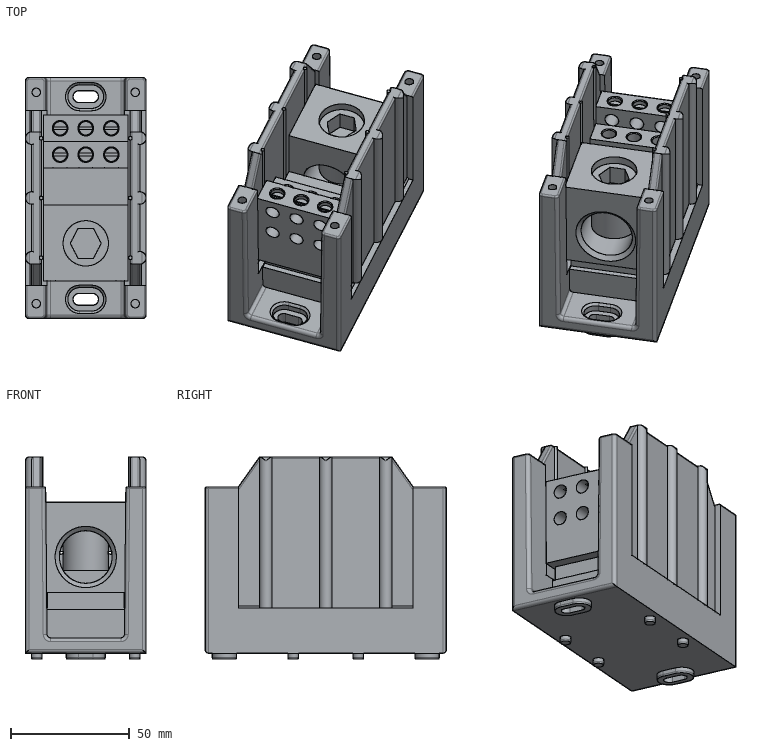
import cadquery as cq

MARGIN = 1.0

LENGTH = 101.6
WIDTH = 50.8
PILLAR_TOP = 70.1
WALL_TOP = 82.7
FLOOR_TOP = 6.5
PEDESTAL_TOP = 18.4
OUTER_RADIUS = 1.5
TOP_RADIUS = 0.76

CHANNEL_BOTTOM_WIDTH = 32.5
CHANNEL_TOP_WIDTH = 33.7
CHANNEL_CORNER_RADIUS = 1.5
MOUTH_RADIUS = 1.6
PEDESTAL_LENGTH = 64.0

CAVITY_LENGTH = 73.6
CAVITY_BOTTOM = 19.1
CAVITY_BOTTOM_WIDTH = 37.4
CAVITY_TOP_WIDTH = 37.6

WALL_OUTER_X = 22.8
WALL_PEAK_LENGTH = 55.7
WINDOW_BOTTOM = CAVITY_BOTTOM
WINDOW_FOOT_CHAMFER = 0.7

RIB_SPACING = 25.2
OUTER_RIB_RADIUS = WIDTH / 2 - WALL_OUTER_X
OUTER_RIB_TOP_RADIUS = 1.6
INNER_RIB_RADIUS = 0.76

PILLAR_HOLE_DIAMETER = 3.6
PILLAR_HOLE_DEPTH = 10.2
PILLAR_HOLE_X = 20.8
PILLAR_HOLE_Y = 44.5

FOOT_HEIGHT = 2.4
SLOT_Y = 42.7
SLOT_LENGTH = 10.7
SLOT_WIDTH = 4.9
RECESS_LENGTH = 15.0
RECESS_WIDTH = 9.9
RECESS_DEPTH = 3.7
RECESS_CHAMFER = 1.0
FOOT_LENGTH = 16.5
FOOT_WIDTH = 10.4
PIN_DIAMETER = 4.6
PIN_X = 20.6
PIN_Y = 13.7
FOOT_CHAMFER_HEIGHT = 0.7
FOOT_CHAMFER_INSET = 0.2

BLOCK_WIDTH = 35.5
BLOCK_LENGTH = 69.9
BLOCK_BOTTOM = 25.5
BLOCK_TOP = 63.7
LUG_BACK_Y = -3.0
PLATEAU_TOP = 41.8
LOW_STEP_Y = 12.7
LOW_STEP_TOP = 54.0
HIGH_STEP_Y = 23.8
HIGH_STEP_TOP = 62.9
SPACER_LENGTH = 59.3

BORE_RADIUS = 11.1
BORE_Z = 40.5
BORE_CHAMFER = 1.8
CLAMP_RADIUS = 9.5
CLAMP_Y = -19.1
CLAMP_RECESS = 3.5
CLAMP_TOP = BLOCK_TOP - CLAMP_RECESS
CLAMP_BOTTOM = 35.0
SOCKET_HALF_WIDTH = 6.5
SOCKET_HALF_HEIGHT = 6.3
SOCKET_HALF_FLAT = 3.3
SOCKET_DEPTH = 8.1

WIRE_PITCH = 10.8
WIRE_RADIUS = 2.9
WIRE_SCREW_RADIUS = 2.8
WIRE_SCREW_RIM_CHAMFER = 0.4
LOW_SCREW_RECESS = 4.6
LOW_SCREW_GAP = 1.0
HIGH_SCREW_RECESS = 2.2
DRIVER_SLOT_WIDTH = 1.2
DRIVER_SLOT_DEPTH = 0.6


def box(x_range, y_range, z_range):
    """Box between the given limits."""
    (x0, x1), (y0, y1), (z0, z1) = x_range, y_range, z_range
    return cq.Workplane("XY").box(x1 - x0, y1 - y0, z1 - z0, centered=False).translate((x0, y0, z0))


def cylinder(radius, x, y, z_bottom, z_top):
    """Upright cylinder."""
    return cq.Workplane("XY", origin=(x, y, z_bottom)).circle(radius).extrude(z_top - z_bottom)


def stadium(length, width, y, z_bottom, z_top):
    """Upright stadium-shaped prism, long along X."""
    return cq.Workplane("XY", origin=(0, y, z_bottom)).slot2D(length, width).extrude(z_top - z_bottom)


def drafted_trough(bottom_width, top_width, z_bottom, z_top, y_range):
    """Trough along Y whose side walls lean slightly outward."""
    y0, y1 = y_range
    return (
        cq.Workplane("XZ", origin=(0, y1, 0))
        .moveTo(-bottom_width / 2, z_bottom)
        .lineTo(bottom_width / 2, z_bottom)
        .lineTo(top_width / 2, z_top)
        .lineTo(-top_width / 2, z_top)
        .close()
        .extrude(y1 - y0)
    )


def make_shell():
    """Rounded box with an open channel at each end, around a central pedestal."""
    shell = cq.Workplane("XY").box(WIDTH, LENGTH, PILLAR_TOP, centered=(True, True, False))
    shell = shell.edges("|Z or (|X and <Z)").fillet(OUTER_RADIUS)
    for y_range in ((-LENGTH / 2, -PEDESTAL_LENGTH / 2), (PEDESTAL_LENGTH / 2, LENGTH / 2)):
        channel = drafted_trough(CHANNEL_BOTTOM_WIDTH, CHANNEL_TOP_WIDTH, FLOOR_TOP, PILLAR_TOP, y_range)
        channel = channel.edges("|Y and <Z").fillet(CHANNEL_CORNER_RADIUS)
        shell = shell.cut(channel)
    reach = CHANNEL_TOP_WIDTH / 2 + MARGIN
    for side in (-1, 1):
        end_y = side * LENGTH / 2
        rim = cq.selectors.BoxSelector(
            (-reach, end_y - MARGIN, FLOOR_TOP - MARGIN), (reach, end_y + MARGIN, PILLAR_TOP - MARGIN)
        )
        shell = shell.edges(rim).fillet(MOUTH_RADIUS)
    return shell


def round_pillar_tops(shell):
    """Round the top rims of the pillars, leaving their faces toward the cavity sharp."""
    return shell.faces(">Z").edges("<Y or >Y or (not |X)").fillet(TOP_RADIUS)


def make_side_wall():
    """Panel on the +X side with sloping shoulders, ribs on both faces and wedges at its foot."""
    panel = (
        cq.Workplane("YZ", origin=(CAVITY_BOTTOM_WIDTH / 2, 0, 0))
        .moveTo(-CAVITY_LENGTH / 2, CAVITY_BOTTOM)
        .lineTo(CAVITY_LENGTH / 2, CAVITY_BOTTOM)
        .lineTo(CAVITY_LENGTH / 2, PILLAR_TOP)
        .lineTo(WALL_PEAK_LENGTH / 2, WALL_TOP)
        .lineTo(-WALL_PEAK_LENGTH / 2, WALL_TOP)
        .lineTo(-CAVITY_LENGTH / 2, PILLAR_TOP)
        .close()
        .extrude(WALL_OUTER_X - CAVITY_BOTTOM_WIDTH / 2)
    )
    cavity = drafted_trough(
        CAVITY_BOTTOM_WIDTH, CAVITY_TOP_WIDTH, CAVITY_BOTTOM, WALL_TOP,
        (-CAVITY_LENGTH / 2, CAVITY_LENGTH / 2),
    )
    panel = panel.cut(cavity)
    top_rim = cq.selectors.BoxSelector(
        (0, -CAVITY_LENGTH / 2 + MARGIN, PILLAR_TOP + MARGIN),
        (WIDTH, CAVITY_LENGTH / 2 - MARGIN, WALL_TOP + MARGIN),
    )
    panel = panel.edges(top_rim).edges("not |X").fillet(TOP_RADIUS)
    for y in (-RIB_SPACING, 0, RIB_SPACING):
        panel = panel.union(make_outer_rib(y)).union(make_inner_rib(y))
    for side in (-1, 1):
        panel = panel.union(make_foot_wedge(side))
    return panel


def make_outer_rib(y):
    """Half-round rib outside the wall; its outer top edge is rounded off."""
    rib = cylinder(OUTER_RIB_RADIUS, WALL_OUTER_X, y, WINDOW_BOTTOM, WALL_TOP)
    wall_middle = (CAVITY_TOP_WIDTH / 2 + WALL_OUTER_X) / 2
    keep = box((wall_middle, WIDTH / 2), (y - RIB_SPACING, y + RIB_SPACING), (0, WALL_TOP))
    keep = keep.edges(">X and >Z").fillet(OUTER_RIB_TOP_RADIUS)
    return rib.intersect(keep)


def make_inner_rib(y):
    """Thin half-round rib inside the wall."""
    return cylinder(INNER_RIB_RADIUS, CAVITY_TOP_WIDTH / 2, y, CAVITY_BOTTOM, WALL_TOP)


def make_foot_wedge(side):
    """Small wedge along the foot of the wall, between the end rib and the pillar."""
    band = (CAVITY_LENGTH - WALL_PEAK_LENGTH) / 2
    centre_y = side * (CAVITY_LENGTH + WALL_PEAK_LENGTH) / 4
    return (
        cq.Workplane("XZ", origin=(0, centre_y, 0))
        .moveTo(WALL_OUTER_X, WINDOW_BOTTOM)
        .lineTo(WALL_OUTER_X + WINDOW_FOOT_CHAMFER, WINDOW_BOTTOM)
        .lineTo(WALL_OUTER_X, WINDOW_BOTTOM + WINDOW_FOOT_CHAMFER)
        .close()
        .extrude(band / 2, both=True)
    )


def soften_foot(prism):
    """Slightly taper the lowest part of a foot or pin."""
    return prism.faces("<Z").chamfer(FOOT_CHAMFER_HEIGHT, FOOT_CHAMFER_INSET)


def make_recess_rim(y):
    """Cutter that flares the top of a mounting recess at 45 degrees."""
    return (
        cq.Workplane("XY", origin=(0, y, FLOOR_TOP))
        .slot2D(RECESS_LENGTH + 2 * RECESS_CHAMFER, RECESS_WIDTH + 2 * RECESS_CHAMFER)
        .extrude(-RECESS_CHAMFER, taper=45)
    )


def make_housing():
    """Base with four corner pillars, tall side walls, feet and pins."""
    housing = make_shell()

    span = (-CAVITY_LENGTH / 2, CAVITY_LENGTH / 2)
    housing = housing.cut(box((-WALL_OUTER_X, WALL_OUTER_X), span, (CAVITY_BOTTOM, WALL_TOP)))
    for x_range in ((-WIDTH / 2, -WALL_OUTER_X), (WALL_OUTER_X, WIDTH / 2)):
        housing = housing.cut(box(x_range, span, (WINDOW_BOTTOM, WALL_TOP)))
    housing = round_pillar_tops(housing)
    wall = make_side_wall()
    housing = housing.union(wall).union(wall.mirror("YZ"))

    seat_half = CHANNEL_BOTTOM_WIDTH / 2
    housing = housing.cut(box((-seat_half, seat_half), span, (PEDESTAL_TOP, CAVITY_BOTTOM)))

    for x in (-PILLAR_HOLE_X, PILLAR_HOLE_X):
        for y in (-PILLAR_HOLE_Y, PILLAR_HOLE_Y):
            hole = cylinder(PILLAR_HOLE_DIAMETER / 2, x, y, PILLAR_TOP - PILLAR_HOLE_DEPTH, PILLAR_TOP)
            housing = housing.cut(hole)

    for x in (-PIN_X, PIN_X):
        for y in (-PIN_Y, PIN_Y):
            housing = housing.union(soften_foot(cylinder(PIN_DIAMETER / 2, x, y, -FOOT_HEIGHT, 0)))

    for y in (-SLOT_Y, SLOT_Y):
        foot = soften_foot(stadium(FOOT_LENGTH, FOOT_WIDTH, y, -FOOT_HEIGHT, 0))
        recess = stadium(RECESS_LENGTH, RECESS_WIDTH, y, FLOOR_TOP - RECESS_DEPTH, FLOOR_TOP)
        housing = housing.union(foot).cut(recess)
        housing = housing.cut(make_recess_rim(y))
        slot = stadium(SLOT_LENGTH, SLOT_WIDTH, y, -FOOT_HEIGHT, FLOOR_TOP)
        housing = housing.cut(slot)
    return housing


def make_block():
    """Stepped block: a tall lug in front, then a plateau and two rising steps."""
    front_y = -BLOCK_LENGTH / 2
    back_y = BLOCK_LENGTH / 2
    block = (
        cq.Workplane("YZ", origin=(-BLOCK_WIDTH / 2, 0, 0))
        .moveTo(front_y, BLOCK_BOTTOM)
        .lineTo(back_y, BLOCK_BOTTOM)
        .lineTo(back_y, HIGH_STEP_TOP)
        .lineTo(HIGH_STEP_Y, HIGH_STEP_TOP)
        .lineTo(HIGH_STEP_Y, LOW_STEP_TOP)
        .lineTo(LOW_STEP_Y, LOW_STEP_TOP)
        .lineTo(LOW_STEP_Y, PLATEAU_TOP)
        .lineTo(LUG_BACK_Y, PLATEAU_TOP)
        .lineTo(LUG_BACK_Y, BLOCK_TOP)
        .lineTo(front_y, BLOCK_TOP)
        .close()
        .extrude(BLOCK_WIDTH)
    )

    bore_end = cq.Workplane("XZ", origin=(0, LUG_BACK_Y, BORE_Z))
    block = block.cut(bore_end.circle(BORE_RADIUS).extrude(LUG_BACK_Y - front_y))
    mouth = cq.Solid.makeCone(
        BORE_RADIUS + BORE_CHAMFER, BORE_RADIUS, BORE_CHAMFER,
        pnt=cq.Vector(0, front_y, BORE_Z), dir=cq.Vector(0, 1, 0),
    )
    block = block.cut(cq.Workplane(mouth))
    block = block.cut(cylinder(CLAMP_RADIUS, 0, CLAMP_Y, BORE_Z, BLOCK_TOP))

    for x in (-WIRE_PITCH, 0, WIRE_PITCH):
        low_screw_y = (LOW_STEP_Y + HIGH_STEP_Y) / 2
        block = block.cut(make_wire_hole(x, LOW_STEP_Y, PLATEAU_TOP))
        low_tip = PLATEAU_TOP + LOW_SCREW_GAP
        block = block.union(cylinder(WIRE_SCREW_RADIUS, x, low_screw_y, low_tip, LOW_STEP_TOP))
        block = block.cut(make_screw_recess(x, low_screw_y, LOW_STEP_TOP, LOW_SCREW_RECESS))

        high_screw_y = (HIGH_STEP_Y + back_y) / 2
        block = block.cut(make_wire_hole(x, HIGH_STEP_Y, LOW_STEP_TOP))
        block = block.cut(make_screw_recess(x, high_screw_y, HIGH_STEP_TOP, HIGH_SCREW_RECESS))
    return block


def make_wire_hole(x, front_y, z_bottom):
    """Cutter for a wire hole from a step's front face through to the back."""
    back_y = BLOCK_LENGTH / 2
    start = cq.Workplane("XZ", origin=(x, back_y, z_bottom + WIRE_RADIUS))
    return start.circle(WIRE_RADIUS).extrude(back_y - front_y)


def make_screw_recess(x, y, z_top, depth):
    """Cutter for the hole above a wire screw: chamfered rim and a driver slot in the floor."""
    screw_top = z_top - depth
    recess = cylinder(WIRE_SCREW_RADIUS, x, y, screw_top, z_top)
    rim = cq.Solid.makeCone(
        WIRE_SCREW_RADIUS, WIRE_SCREW_RADIUS + WIRE_SCREW_RIM_CHAMFER, WIRE_SCREW_RIM_CHAMFER,
        pnt=cq.Vector(x, y, z_top - WIRE_SCREW_RIM_CHAMFER), dir=cq.Vector(0, 0, 1),
    )
    driver_slot = box(
        (-WIRE_SCREW_RADIUS, WIRE_SCREW_RADIUS),
        (-DRIVER_SLOT_WIDTH / 2, DRIVER_SLOT_WIDTH / 2),
        (screw_top - DRIVER_SLOT_DEPTH, screw_top),
    ).translate((x, y, 0))
    return recess.union(cq.Workplane(rim)).union(driver_slot)


def make_spacer():
    """Plate, seated between the ledges, that carries the terminal block on the pedestal."""
    return box(
        (-CHANNEL_BOTTOM_WIDTH / 2, CHANNEL_BOTTOM_WIDTH / 2),
        (-SPACER_LENGTH / 2, SPACER_LENGTH / 2),
        (PEDESTAL_TOP, BLOCK_BOTTOM),
    )


def make_clamp_screw():
    """Set screw with a six-sided socket."""
    socket = (
        cq.Workplane("XY", origin=(0, CLAMP_Y, CLAMP_TOP - SOCKET_DEPTH))
        .moveTo(-SOCKET_HALF_WIDTH, 0)
        .lineTo(-SOCKET_HALF_FLAT, SOCKET_HALF_HEIGHT)
        .lineTo(SOCKET_HALF_FLAT, SOCKET_HALF_HEIGHT)
        .lineTo(SOCKET_HALF_WIDTH, 0)
        .lineTo(SOCKET_HALF_FLAT, -SOCKET_HALF_HEIGHT)
        .lineTo(-SOCKET_HALF_FLAT, -SOCKET_HALF_HEIGHT)
        .close()
        .extrude(SOCKET_DEPTH)
    )
    return cylinder(CLAMP_RADIUS, 0, CLAMP_Y, CLAMP_BOTTOM, CLAMP_TOP).cut(socket)


housing = make_housing()
block = make_block()
spacer = make_spacer()
clamp_screw = make_clamp_screw()

result = cq.Compound.makeCompound([
    housing.solids().val(),
    block.solids().val(),
    spacer.solids().val(),
    clamp_screw.solids().val(),
])